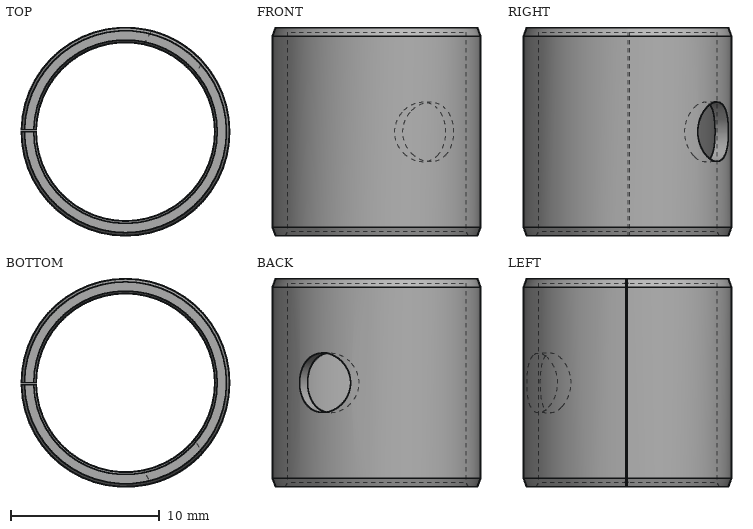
import cadquery as cq
import math

length = 14.0
outer_diameter = 14.0
bore_diameter = 12.0
outer_chamfer_length = 0.59
outer_chamfer_angle = 20.0
inner_chamfer_length = 0.31
inner_chamfer_depth = 0.17
slit_width = 0.13
oil_hole_diameter = 4.0
oil_hole_angle = 59.0

outer_radius = outer_diameter / 2
bore_radius = bore_diameter / 2
half_length = length / 2
outer_chamfer_depth = outer_chamfer_length * math.tan(math.radians(outer_chamfer_angle))


def make_sleeve():
    """Revolve the wall section, with both ends chamfered inside and out."""
    upper_half = [
        (outer_radius, half_length - outer_chamfer_length),
        (outer_radius - outer_chamfer_depth, half_length),
        (bore_radius + inner_chamfer_depth, half_length),
        (bore_radius, half_length - inner_chamfer_length),
    ]
    lower_half = [(radius, -height) for radius, height in reversed(upper_half)]
    section = cq.Workplane("XZ").polyline(upper_half + lower_half).close()
    return section.revolve(360, (0, 0, 0), (0, 1, 0))


def make_slit():
    """Full-length split through the -X wall, with one face on the XZ plane."""
    return cq.Workplane("XY").box(
        outer_radius, slit_width, length, centered=(False, False, True)
    ).translate((-outer_radius, 0, 0))


def make_oil_hole():
    """Radial hole through one wall at mid-length."""
    hole = cq.Workplane("YZ").circle(oil_hole_diameter / 2).extrude(outer_diameter)
    return hole.rotate((0, 0, 0), (0, 0, 1), oil_hole_angle)


result = make_sleeve().cut(make_slit()).cut(make_oil_hole())